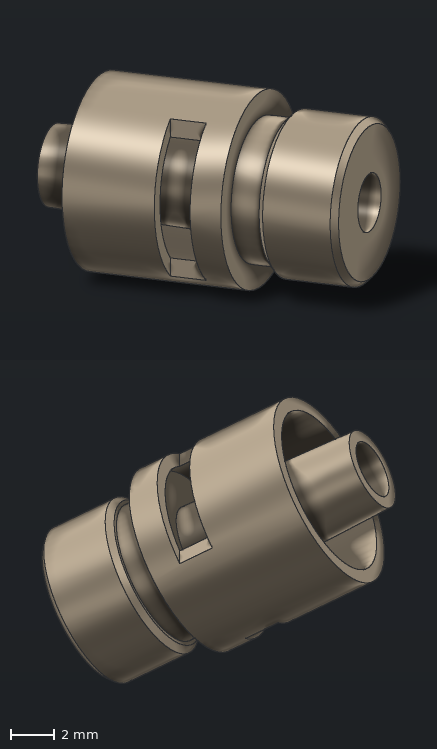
import cadquery as cq

overall_length = 15.9
sleeve_start = 2.4
sleeve_length = 8.0
neck_length = 1.5
sleeve_end = sleeve_start + sleeve_length
head_start = sleeve_end + neck_length
head_length = overall_length - head_start

sleeve_outer_diameter = 9.45
sleeve_inner_diameter = 8.1
neck_diameter = 7.0
head_diameter = 8.0
bore_diameter = 2.8
spigot_tip_diameter = 3.96

head_chamfer = 0.3

sleeve_floor_thickness = 1.0
cavity_floor = sleeve_end - sleeve_floor_thickness

spigot_taper = 0.06
spigot_root_diameter = spigot_tip_diameter + spigot_taper * cavity_floor

slot_start = 7.05
slot_width = 1.8
slot_flat_distance = 2.8


def cylinder(start, length, diameter):
    """Cylinder along X beginning at the given station."""
    return cq.Workplane("YZ", origin=(start, 0, 0)).circle(diameter / 2).extrude(length)


def make_sleeve():
    """Sleeve open toward -X, closed by a floor at its +X end."""
    body = cylinder(sleeve_start, sleeve_length, sleeve_outer_diameter)
    cavity = cylinder(sleeve_start, cavity_floor - sleeve_start, sleeve_inner_diameter)
    return body.cut(cavity)


def make_slot(side):
    """Cutter for one sleeve slot; side is +1 for +Y and -1 for -Y."""
    slot_depth = sleeve_outer_diameter / 2 - slot_flat_distance
    return cq.Workplane("XY").box(slot_width, slot_depth, sleeve_outer_diameter).translate(
        (slot_start + slot_width / 2, side * (slot_flat_distance + slot_depth / 2), 0)
    )


def make_spigot():
    """Tapered spigot, thicker toward the cavity floor."""
    return (
        cq.Workplane("XY")
        .moveTo(0, 0)
        .lineTo(0, spigot_tip_diameter / 2)
        .lineTo(cavity_floor, spigot_root_diameter / 2)
        .lineTo(cavity_floor, 0)
        .close()
        .revolve(360, (0, 0, 0), (1, 0, 0))
    )


def make_head():
    """Cylindrical head with both rims chamfered."""
    return cylinder(head_start, head_length, head_diameter).edges().chamfer(head_chamfer)


sleeve = make_sleeve()
for side in (-1, 1):
    sleeve = sleeve.cut(make_slot(side))

neck = cylinder(sleeve_end, neck_length, neck_diameter)
bore = cylinder(0, overall_length, bore_diameter)

result = sleeve.union(make_spigot()).union(neck).union(make_head()).cut(bore)